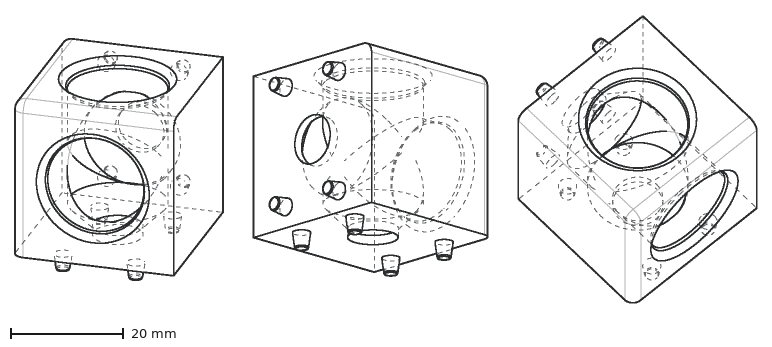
import cadquery as cq

longest_side = 33
cube_size = 30.0
half = cube_size / 2
pin_length = longest_side - cube_size
edge_radius = 2.0

bore_radius = 17.9 / 2
lip_radius = 18.4 / 2
mouth_radius = 21.0 / 2
through_radius = 8.98 / 2
countersink_depth = mouth_radius - lip_radius
lip_depth = 0.53
cone_start = 8.8
cone_length = bore_radius - through_radius

pin_base_radius = 1.62
pin_tip_radius = 1.25
pin_tip_chamfer_height = 0.25
pin_tip_chamfer_width = pin_tip_chamfer_height / 2
pin_x = 6.75
pin_y = 11.1


def make_block():
    """Cube with the three edges meeting at the (-X, -Y, +Z) corner rounded."""
    block = cq.Workplane("XY").box(cube_size, cube_size, cube_size)
    rounded = "(|X and <Y and >Z) or (|Y and <X and >Z) or (|Z and <X and <Y)"
    return block.edges(rounded).fillet(edge_radius)


def make_bore():
    """Bore along Z: countersunk mouth on top, conical floor, through hole below."""
    lip_z = half - countersink_depth
    profile = [
        (0, half),
        (mouth_radius, half),
        (lip_radius, lip_z),
        (bore_radius, lip_z - lip_depth),
        (bore_radius, -cone_start),
        (through_radius, -cone_start - cone_length),
        (through_radius, -half),
        (0, -half),
    ]
    return cq.Workplane("XZ").polyline(profile).close().revolve(360, (0, 0), (0, 1))


def make_pin(x, y):
    """Tapered pin below the block, with a chamfered tip."""
    profile = [
        (0, 0),
        (pin_base_radius, 0),
        (pin_tip_radius, -pin_length + pin_tip_chamfer_height),
        (pin_tip_radius - pin_tip_chamfer_width, -pin_length),
        (0, -pin_length),
    ]
    pin = cq.Workplane("XZ").polyline(profile).close().revolve(360, (0, 0), (0, 1))
    return pin.translate((x, y, -half))


def turn_to_front(shape):
    """Turn a +Z-facing feature so that it faces -Y."""
    return shape.rotate((0, 0, 0), (1, 0, 0), 90)


result = make_block()

bore = make_bore()
result = result.cut(bore).cut(turn_to_front(bore))

for x in (-pin_x, pin_x):
    for y in (-pin_y, pin_y):
        pin = make_pin(x, y)
        result = result.union(pin).union(turn_to_front(pin))